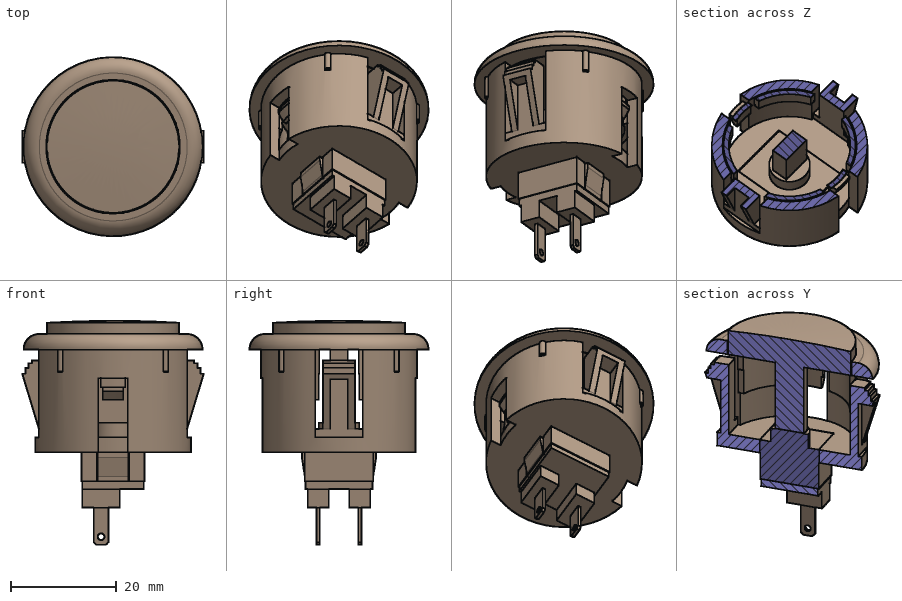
import cadquery as cq


TERMINAL_TOP = 7.05
FOOT_TOP = 10.5
SWITCH_TOP = 12.0
HOUSING_BOTTOM = 17.45
FLOOR_TOP = 20.3
BOSS_TOP = 23.1
FLANGE_BOTTOM = 36.95
FLANGE_TOP = 39.9
CAP_EDGE = 42.0
CAP_PEAK = 42.4

FLANGE_RADIUS = 16.95
FLANGE_ROUND = FLANGE_TOP - FLANGE_BOTTOM
BODY_RADIUS = 29.5 / 2
BORE_RADIUS = 25.3 / 2
SLOT_WIDTH = 5.5
SLOT_TOP = 31.55
WINDOW_WIDTH = 8.95

RIB_RADIUS = 1.25 / 2
RIB_X = 9.9
RIB_Y = 10.75
RIB_BOTTOM = 32.65
RIB_CHAMFER = 0.15

ARM_WIDTH = 6.05
ARM_INNER_X = 12.3
ARM_OUTER_X = 14.05
ARM_TIP_X = 34.4 / 2
ARM_BASE_TOP = 21.9
ARM_TIP_Z = 32.4
ARM_STEPS = [(16.58, 33.45), (16.03, 34.4), (15.35, 34.9)]
ARM_RECESS_WIDTH = 3.4
ARM_RECESS_TOP = 31.3

CAP_RADIUS = 25.0 / 2
SKIRT_WALL = 1.05
SKIRT_INNER_RADIUS = CAP_RADIUS - SKIRT_WALL
SKIRT_BOTTOM = 27.4
NOTCH_STEP_Z = 32.3
NOTCH_UPPER_WIDTH = 7.38
NOTCH_LOWER_WIDTH = 7.65
POST_LENGTH = 5.95
POST_WIDTH = 3.4

HOOK_LEG_WIDTH = 4.7
BARB_WIDTH = 3.9
BARB_TOP = 29.8
BARB_SLOPE_TOP = 29.0
BARB_RADIUS = 13.35
BARB_TOE_RADIUS = 12.25

HOLDER_LENGTH = 11.95
HOLDER_WIDTH = 12.97
HOLDER_LIP_WIDTH = 15.1
HOLDER_LIP_THICKNESS = 0.85
HOLDER_LIP_GAP = 0.15
HOLDER_LIP_BOTTOM = FLOOR_TOP - HOLDER_LIP_THICKNESS
BOSS_RADIUS = 7.7 / 2
LATCH_WIDTH = 5.75
LATCH_SLIT = 0.15
LATCH_SLIT_DEPTH = 0.85
LATCH_REACH = 0.55
LATCH_SLOPE_TOP = 16.55
LATCH_SLOPE_BOTTOM = 12.95

SWITCH_LENGTH = 11.65
SWITCH_WIDTH = 12.7
FOOT_LENGTH = 7.12
FOOT_WIDTH = 4.03
FOOT_Y = 3.95
TERMINAL_X = -2.25
TERMINAL_WIDTH = 2.85
TERMINAL_THICKNESS = 0.65
TERMINAL_CHAMFER = 0.5
TERMINAL_HOLE_RADIUS = 1.25 / 2
TERMINAL_HOLE_Z = 1.53


def block(length, width, bottom, top, x=0, y=0):
    """A box centred on (x, y) between two levels."""
    return cq.Workplane("XY").box(length, width, top - bottom).translate((x, y, (bottom + top) / 2))


def disc(radius, bottom, top):
    """A cylinder on the button axis between two levels."""
    return cq.Workplane("XY").workplane(offset=bottom).circle(radius).extrude(top - bottom)


def prism_along_y(points, width):
    """An XZ outline extruded to a width centred on Y = 0."""
    return cq.Workplane("XZ").polyline(points).close().extrude(width / 2, both=True)


def make_shell():
    """Flanged tube closed by a floor, which keeps its full bore radius behind the slots."""
    outline = (
        cq.Workplane("XZ")
        .moveTo(BORE_RADIUS, HOUSING_BOTTOM)
        .lineTo(BODY_RADIUS, HOUSING_BOTTOM)
        .lineTo(BODY_RADIUS, FLANGE_BOTTOM)
        .lineTo(FLANGE_RADIUS, FLANGE_BOTTOM)
        .radiusArc((FLANGE_RADIUS - FLANGE_ROUND, FLANGE_TOP), -FLANGE_ROUND)
        .lineTo(BORE_RADIUS, FLANGE_TOP)
        .close()
    )
    wall = outline.revolve(360, (0, 0, 0), (0, 1, 0))
    slots = block(SLOT_WIDTH, 2 * FLANGE_RADIUS, HOUSING_BOTTOM, SLOT_TOP)
    windows = block(2 * FLANGE_RADIUS, WINDOW_WIDTH, FLOOR_TOP, FLANGE_BOTTOM)
    floor = disc(BORE_RADIUS, HOUSING_BOTTOM, FLOOR_TOP)
    holder_hole = block(HOLDER_LENGTH, HOLDER_WIDTH, HOUSING_BOTTOM, FLOOR_TOP)
    lip_recess_width = HOLDER_LIP_WIDTH + 2 * HOLDER_LIP_GAP
    lip_recess = block(HOLDER_LENGTH, lip_recess_width, HOLDER_LIP_BOTTOM, FLOOR_TOP)
    return wall.cut(slots).cut(windows).union(floor).cut(holder_hole).cut(lip_recess)


def make_rib(x, y):
    """A thin round rib hanging from the flange, chamfered at its lower end."""
    rib = cq.Workplane("XY", origin=(x, y, RIB_BOTTOM)).circle(RIB_RADIUS).extrude(FLANGE_BOTTOM - RIB_BOTTOM)
    return rib.faces("<Z").chamfer(RIB_CHAMFER)


def make_snap_arm():
    """The +X snap arm: a base filling the window, a stepped wedge and a recess in its slope."""
    points = [(ARM_INNER_X, FLOOR_TOP), (ARM_OUTER_X, FLOOR_TOP), (ARM_OUTER_X, ARM_BASE_TOP)]
    points.append((ARM_TIP_X, ARM_TIP_Z))
    tread = ARM_TIP_Z
    for riser_x, riser_top in ARM_STEPS:
        points += [(riser_x, tread), (riser_x, riser_top)]
        tread = riser_top
    points.append((ARM_INNER_X, tread))
    arm = prism_along_y(points, ARM_WIDTH)
    recess_depth = ARM_TIP_X - ARM_OUTER_X
    recess = block(
        recess_depth, ARM_RECESS_WIDTH, ARM_BASE_TOP, ARM_RECESS_TOP, x=ARM_OUTER_X + recess_depth / 2
    )
    base_length = ARM_OUTER_X - ARM_INNER_X
    base = block(base_length, WINDOW_WIDTH, FLOOR_TOP, ARM_BASE_TOP, x=ARM_INNER_X + base_length / 2)
    return arm.cut(recess).union(base)


def make_housing():
    """Shell with its four ribs and two snap arms."""
    housing = make_shell()
    for x in (-RIB_X, RIB_X):
        for y in (-RIB_Y, RIB_Y):
            housing = housing.union(make_rib(x, y))
    arm = make_snap_arm()
    for angle in (0, 180):
        housing = housing.union(arm.rotate((0, 0, 0), (0, 0, 1), angle))
    return housing


def make_skirt():
    """Tube below the cap head, notched on four sides for the snap arms and the hooks."""
    skirt = disc(CAP_RADIUS, SKIRT_BOTTOM, FLANGE_BOTTOM)
    skirt = skirt.cut(disc(SKIRT_INNER_RADIUS, SKIRT_BOTTOM, FLANGE_BOTTOM))
    reach = 2 * CAP_RADIUS
    notch = block(reach, NOTCH_LOWER_WIDTH, SKIRT_BOTTOM, NOTCH_STEP_Z)
    notch = notch.union(block(reach, NOTCH_UPPER_WIDTH, NOTCH_STEP_Z, FLANGE_BOTTOM))
    for angle in (0, 90):
        skirt = skirt.cut(notch.rotate((0, 0, 0), (0, 0, 1), angle))
    return skirt


def make_hooks():
    """Front and rear legs of the cap, each ending in a narrower barb with a sloped toe."""
    leg_ring = disc(CAP_RADIUS, BARB_TOP, FLANGE_BOTTOM)
    leg_ring = leg_ring.cut(disc(SKIRT_INNER_RADIUS, BARB_TOP, FLANGE_BOTTOM))
    legs = leg_ring.intersect(block(HOOK_LEG_WIDTH, 2 * BARB_RADIUS, BARB_TOP, FLANGE_BOTTOM))
    barb_outline = [
        (SKIRT_INNER_RADIUS, SKIRT_BOTTOM),
        (BARB_TOE_RADIUS, SKIRT_BOTTOM),
        (BARB_RADIUS, BARB_SLOPE_TOP),
        (BARB_RADIUS, BARB_TOP),
        (SKIRT_INNER_RADIUS, BARB_TOP),
    ]
    barb_ring = cq.Workplane("XZ").polyline(barb_outline).close().revolve(360, (0, 0, 0), (0, 1, 0))
    barbs = barb_ring.intersect(block(BARB_WIDTH, 2 * BARB_RADIUS, SKIRT_BOTTOM, BARB_TOP))
    return legs.union(barbs)


def make_cap():
    """Domed button head with its skirt, two hooks and the post that presses on the holder boss."""
    rise = CAP_PEAK - CAP_EDGE
    dome_radius = (CAP_RADIUS**2 + rise**2) / (2 * rise)
    head = (
        cq.Workplane("XZ")
        .moveTo(0, FLANGE_BOTTOM)
        .lineTo(CAP_RADIUS, FLANGE_BOTTOM)
        .lineTo(CAP_RADIUS, CAP_EDGE)
        .radiusArc((0, CAP_PEAK), -dome_radius)
        .close()
        .revolve(360, (0, 0, 0), (0, 1, 0))
    )
    post = block(POST_LENGTH, POST_WIDTH, BOSS_TOP, FLANGE_BOTTOM)
    return head.union(make_skirt()).union(make_hooks()).union(post)


def make_latch():
    """Wedge on the -Y face of the holder that grips the underside of the housing floor."""
    face = -HOLDER_WIDTH / 2
    outline = [
        (face + LATCH_REACH, HOUSING_BOTTOM),
        (face - LATCH_REACH, HOUSING_BOTTOM),
        (face - LATCH_REACH, LATCH_SLOPE_TOP),
        (face, LATCH_SLOPE_BOTTOM),
        (face + LATCH_REACH, LATCH_SLOPE_BOTTOM),
    ]
    return cq.Workplane("YZ").polyline(outline).close().extrude(LATCH_WIDTH / 2, both=True)


def make_holder():
    """Block through the housing floor with a lip flush in the floor and a round boss above it."""
    holder = block(HOLDER_LENGTH, HOLDER_WIDTH, SWITCH_TOP, FLOOR_TOP)
    holder = holder.union(block(HOLDER_LENGTH, HOLDER_LIP_WIDTH, HOLDER_LIP_BOTTOM, FLOOR_TOP))
    holder = holder.union(disc(BOSS_RADIUS, FLOOR_TOP, BOSS_TOP))
    slit_x = (LATCH_WIDTH + LATCH_SLIT) / 2
    slit_y = (HOLDER_WIDTH - LATCH_SLIT_DEPTH) / 2
    latch = make_latch()
    for angle in (0, 180):
        holder = holder.union(latch.rotate((0, 0, 0), (0, 0, 1), angle))
    for x in (-slit_x, slit_x):
        for y in (-slit_y, slit_y):
            holder = holder.cut(block(LATCH_SLIT, LATCH_SLIT_DEPTH, SWITCH_TOP, HOUSING_BOTTOM, x, y))
    return holder


def make_switch():
    """Switch base plate with two feet, flush with it on the -X side."""
    switch = block(SWITCH_LENGTH, SWITCH_WIDTH, FOOT_TOP, SWITCH_TOP)
    foot_x = (FOOT_LENGTH - SWITCH_LENGTH) / 2
    for y in (-FOOT_Y, FOOT_Y):
        switch = switch.union(block(FOOT_LENGTH, FOOT_WIDTH, TERMINAL_TOP, FOOT_TOP, foot_x, y))
    return switch


def make_terminal(y):
    """Flat blade with two chamfered corners and a wiring hole."""
    blade = block(TERMINAL_WIDTH, TERMINAL_THICKNESS, 0, TERMINAL_TOP, TERMINAL_X, y)
    blade = blade.faces("<Z").edges("|Y").chamfer(TERMINAL_CHAMFER)
    hole = (
        cq.Workplane("XZ", origin=(TERMINAL_X, y, TERMINAL_HOLE_Z))
        .circle(TERMINAL_HOLE_RADIUS)
        .extrude(TERMINAL_THICKNESS, both=True)
    )
    return blade.cut(hole)


housing = make_housing()
cap = make_cap()
holder = make_holder()
switch = make_switch()
terminals = [make_terminal(y) for y in (-FOOT_Y, FOOT_Y)]

result = cq.Compound.makeCompound(
    [housing.val(), cap.val(), holder.val(), switch.val()] + [blade.val() for blade in terminals]
)